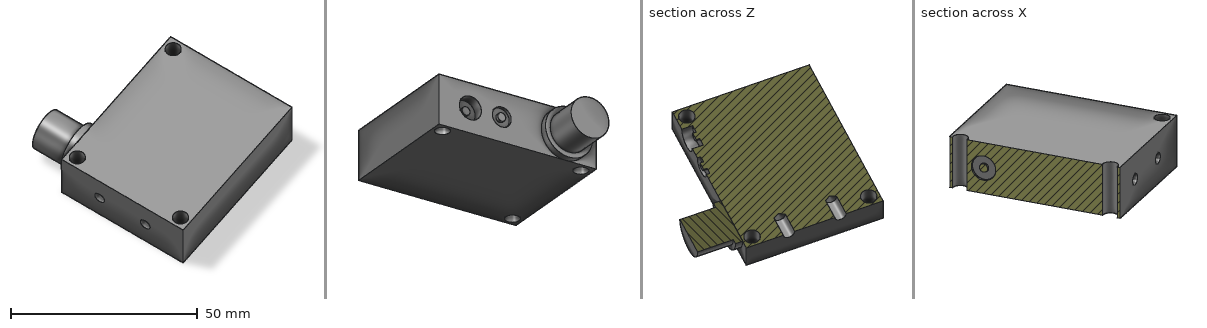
import cadquery as cq

length = 40.0
width = 50.0
height = 15.0
mid_height = height / 2

mounting_diameter = 4.3
mounting_inset = 3.0

drilled_diameter = 3.2
drilled_depth = 6.3
drilled_tip_depth = 0.95
drilled_spacing = 15.0
first_drilled_x = 12.5

recess_spacing = 10.0
deep_recess_y = width - recess_spacing
deep_recess_diameter = 7.0
deep_recess_depth = 3.15
shallow_recess_y = deep_recess_y - recess_spacing
shallow_recess_diameter = 6.0
shallow_recess_depth = 1.0
boss_diameter = 2.5
boss_height = 1.0

connector_y = 10.0
flange_diameter = height
flange_thickness = 2.1
barrel_diameter = 12.0
overall_length = 52.5
barrel_length = overall_length - length - flange_thickness


def x_cylinder(diameter, start_x, y, cylinder_length):
    """Cylinder at mid height that runs from start_x toward +X."""
    start = cq.Vector(start_x, y, mid_height)
    return cq.Workplane(cq.Solid.makeCylinder(diameter / 2, cylinder_length, start, cq.Vector(1, 0, 0)))


def mounting_holes():
    """Through holes in every corner except the back right one."""
    right_x = length - mounting_inset
    back_y = width - mounting_inset
    centers = [(mounting_inset, mounting_inset), (right_x, mounting_inset), (mounting_inset, back_y)]
    return cq.Workplane("XY").pushPoints(centers).circle(mounting_diameter / 2).extrude(height)


def drilled_hole(x):
    """Half profile of a drilled hole, revolved about its axis along Y."""
    radius = drilled_diameter / 2
    profile = [
        (0, 0),
        (radius, 0),
        (radius, drilled_depth),
        (0, drilled_depth + drilled_tip_depth),
    ]
    hole = cq.Workplane("XY").polyline(profile).close().revolve(360, (0, 0), (0, 1))
    return hole.translate((x, 0, mid_height))


def recess_with_boss(y, diameter, depth):
    """Volume removed by a recess that keeps a boss on its floor."""
    boss = x_cylinder(boss_diameter, depth - boss_height, y, boss_height)
    return x_cylinder(diameter, 0, y, depth).cut(boss)


def make_housing():
    housing = cq.Workplane("XY").box(length, width, height, centered=False)
    housing = housing.cut(mounting_holes())
    for x in (first_drilled_x, first_drilled_x + drilled_spacing):
        housing = housing.cut(drilled_hole(x))
    housing = housing.cut(recess_with_boss(deep_recess_y, deep_recess_diameter, deep_recess_depth))
    return housing.cut(recess_with_boss(shallow_recess_y, shallow_recess_diameter, shallow_recess_depth))


def make_connector():
    """Flange seated on the left face, with a barrel that points toward -X."""
    flange = x_cylinder(flange_diameter, -flange_thickness, connector_y, flange_thickness)
    barrel = x_cylinder(barrel_diameter, -flange_thickness - barrel_length, connector_y, barrel_length)
    return flange.union(barrel)


housing = make_housing().solids()
connector = make_connector().solids()

result = cq.Compound.makeCompound([housing.val(), connector.val()])